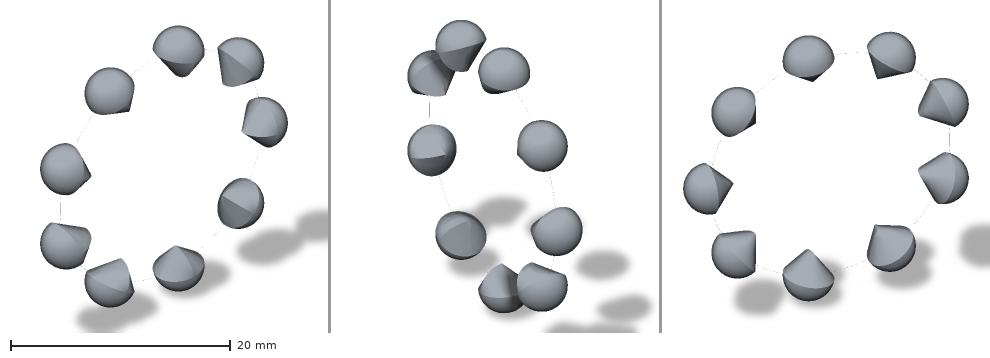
import cadquery as cq
import math

overall_height = 27.9
bead_count = 9
bead_radius = 2.385
wire_diameter = 0.015

bead_step = 360 / bead_count
highest_bead_angle = 2 * bead_step
ring_radius = (overall_height / 2 - bead_radius) / math.sin(math.radians(highest_bead_angle))


def make_dome():
    """Hemisphere centred on the origin, bulging towards +Y."""
    arc_offset = bead_radius * math.sqrt(0.5)
    profile = (
        cq.Workplane("XY")
        .lineTo(bead_radius, 0)
        .threePointArc((arc_offset, arc_offset), (0, bead_radius))
        .close()
    )
    return profile.revolve(360, (0, 0, 0), (0, 1, 0))


def make_half_cone():
    """Half of a cone on the -X side, its apex pointing towards -Y."""
    profile = (
        cq.Workplane("YZ")
        .polyline([(0, 0), (0, bead_radius), (-bead_radius, 0)])
        .close()
    )
    cone = profile.revolve(360, (0, 0, 0), (1, 0, 0))
    keep = cq.Workplane("XY").box(
        bead_radius, 2 * bead_radius, 2 * bead_radius
    ).translate((-bead_radius / 2, 0, 0))
    return cone.intersect(keep)


def make_elliptic_cylinder(tilt):
    """Long cylinder along Y, turned about X, whose ellipse spans the bead along X."""
    length = 4 * bead_radius
    cylinder = (
        cq.Workplane("XZ")
        .ellipse(bead_radius, bead_radius * math.sqrt(0.5))
        .extrude(length / 2, both=True)
    )
    return cylinder.rotate((0, 0, 0), (1, 0, 0), tilt)


def make_ridge():
    """Ridge on the +X, -Y side, its crest a quarter circle in the XY plane.

    Two crossed cylinders give it a triangular section at every X, so that it joins
    the crest to the rim of the dome with straight lines and meets the half cone smoothly.
    """
    crossing = make_elliptic_cylinder(45).intersect(make_elliptic_cylinder(-45))
    keep = cq.Workplane("XY").box(
        bead_radius, bead_radius, 2 * bead_radius
    ).translate((bead_radius / 2, -bead_radius / 2, 0))
    return crossing.intersect(keep)


def make_bead():
    """Hemisphere facing outward, with a half cone and a ridge facing the ring axis."""
    bead = make_dome().union(make_half_cone()).union(make_ridge())
    return bead.translate((0, ring_radius, 0))


def make_wire():
    """Thin round wire in the YZ plane, passing through every bead centre."""
    section = cq.Workplane("XY").center(0, ring_radius).circle(wire_diameter / 2)
    return section.revolve(360, (0, -ring_radius, 0), (1, -ring_radius, 0))


bead = make_bead()
result = make_wire()
for index in range(bead_count):
    result = result.union(bead.rotate((0, 0, 0), (1, 0, 0), index * bead_step))